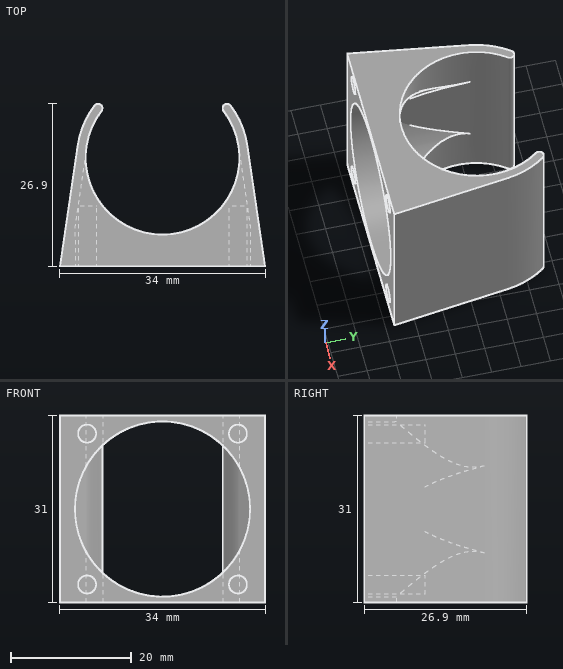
import cadquery as cq
import math

base_width = 34.0
height = 31.0
clip_center_y = 18.0
clip_radius = 12.7
arm_thickness = 1.5
tip_angle = 37.5
bore_diameter = 29.0
screw_spacing = 25.0
screw_diameter = 3.0
screw_depth = 10.0

half_width = base_width / 2
outer_radius = clip_radius + arm_thickness

corner_distance = math.hypot(half_width, clip_center_y)
corner_angle = math.degrees(math.atan2(-clip_center_y, half_width))
flank_angle = corner_angle + math.degrees(math.acos(outer_radius / corner_distance))
inner_half_width = half_width - arm_thickness / math.cos(math.radians(flank_angle))

bore_depth = clip_center_y + clip_radius * math.sin(math.radians(flank_angle))


def clip_point(radius, angle, side=1):
    """Point on a circle about the clip axis; side = -1 mirrors it across X = 0."""
    radians = math.radians(angle)
    return side * radius * math.cos(radians), clip_center_y + radius * math.sin(radians)


def lip_end(side):
    """Middle of the rounded lip at the end of an arm."""
    middle_radius = clip_radius + arm_thickness / 2
    x, y = clip_point(middle_radius, tip_angle, side)
    radians = math.radians(tip_angle)
    lip_radius = arm_thickness / 2
    return x - side * lip_radius * math.sin(radians), y + lip_radius * math.cos(radians)


def clip_body():
    """Tapered base and two clip arms with rounded lips, extruded along Z."""
    arm_middle_angle = (flank_angle + tip_angle) / 2
    return (
        cq.Workplane("XY")
        .workplane(offset=-height / 2)
        .moveTo(-half_width, 0)
        .lineTo(half_width, 0)
        .lineTo(*clip_point(outer_radius, flank_angle))
        .threePointArc(clip_point(outer_radius, arm_middle_angle), clip_point(outer_radius, tip_angle))
        .threePointArc(lip_end(1), clip_point(clip_radius, tip_angle))
        .threePointArc(clip_point(clip_radius, -90), clip_point(clip_radius, tip_angle, -1))
        .threePointArc(lip_end(-1), clip_point(outer_radius, tip_angle, -1))
        .threePointArc(
            clip_point(outer_radius, arm_middle_angle, -1),
            clip_point(outer_radius, flank_angle, -1),
        )
        .close()
        .extrude(height)
    )


def entry_bore():
    """Round bore from the mounting face to the clip, kept one arm thickness inside the flanks."""
    bore = cq.Workplane("XZ").circle(bore_diameter / 2).extrude(-bore_depth)
    flank_limit = (
        cq.Workplane("XY")
        .workplane(offset=-height / 2)
        .moveTo(-inner_half_width, 0)
        .lineTo(inner_half_width, 0)
        .lineTo(*clip_point(clip_radius, flank_angle))
        .lineTo(*clip_point(clip_radius, flank_angle, -1))
        .close()
        .extrude(height)
    )
    return bore.intersect(flank_limit)


def screw_holes():
    """Four blind holes entering the mounting face along +Y."""
    return (
        cq.Workplane("XZ")
        .rect(screw_spacing, screw_spacing, forConstruction=True)
        .vertices()
        .circle(screw_diameter / 2)
        .extrude(-screw_depth)
    )


result = clip_body().cut(entry_bore()).cut(screw_holes())